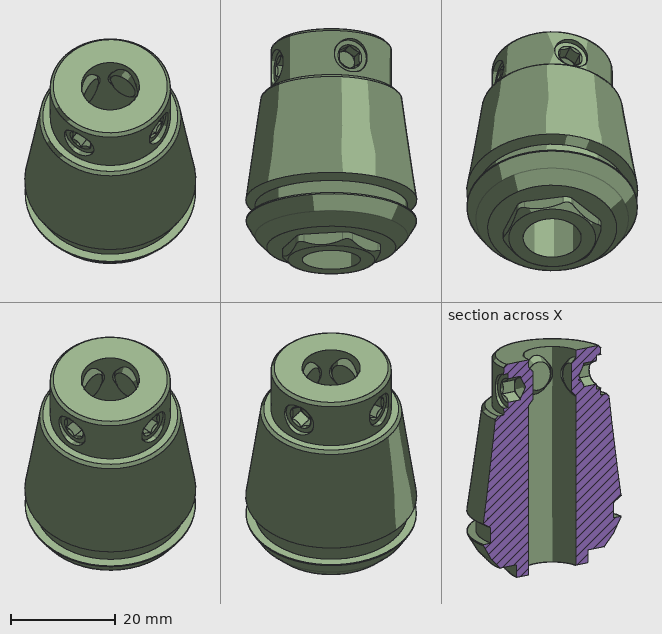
import cadquery as cq
import math

height = 43.0
bore_diameter = 11.1

collar_radius = 23.0 / 2
shoulder_z = 33.02
sleeve_top_radius = 13.5
sleeve_bottom_radius = 32.72 / 2
sleeve_bottom_z = 12.05
edge_chamfer = 0.6

groove_radius = 29.2 / 2
groove_top_z = 11.0
flange_top_z = 8.0
flange_radius = 32.6 / 2
flange_land = 0.25
flange_knee_z = 4.9
flange_bottom_radius = 12.35

nut_height = 2.55
nut_across_flats = 17.0
nut_corner_radius = 2.0
nut_bottom_radius = 8.3

screw_count = 4
screw_z = 37.65
screw_diameter = 8.0
screw_tip_diameter = 5.6
screw_tip_distance = 4.47
screw_face_distance = 10.5
screw_hole_diameter = 6.65
socket_across_flats = 4.0
socket_mouth_diameter = 4.8
socket_mouth_angle = 90.0
socket_depth = 3.0
socket_bottom_angle = 120.0


def across_corners(across_flats):
    """Corner-to-corner size of a regular hexagon."""
    return across_flats / math.cos(math.radians(30))


def revolved(profile):
    """Solid of revolution about Z from (radius, height) points."""
    return cq.Workplane("XZ").polyline(profile).close().revolve(360, (0, 0), (0, 1))


def turned_body():
    """Collar, tapered sleeve, groove and flange as one turned profile."""
    profile = [
        (0, nut_height),
        (flange_bottom_radius, nut_height),
        (groove_radius, flange_knee_z),
        (flange_radius, flange_top_z - flange_land),
        (flange_radius, flange_top_z),
        (groove_radius, flange_top_z),
        (groove_radius, groove_top_z),
        (sleeve_bottom_radius, sleeve_bottom_z),
        (sleeve_top_radius, shoulder_z - edge_chamfer),
        (sleeve_top_radius - edge_chamfer, shoulder_z),
        (collar_radius, shoulder_z),
        (collar_radius, height - edge_chamfer),
        (collar_radius - edge_chamfer, height),
        (0, height),
    ]
    return revolved(profile)


def hexagon_nut():
    """Hexagon with rounded corners on the X axis and a 45 degree bottom chamfer."""
    hexagon = cq.Workplane("XY").polygon(6, across_corners(nut_across_flats)).extrude(nut_height)
    hexagon = hexagon.edges("|Z").fillet(nut_corner_radius)
    chamfer_cone = revolved([
        (0, 0),
        (nut_bottom_radius, 0),
        (nut_bottom_radius + nut_height, nut_height),
        (0, nut_height),
    ])
    return hexagon.intersect(chamfer_cone)


def pointed_cone(base_diameter, included_angle):
    """Cone with its base on Z = 0 and its point downwards."""
    radius = base_diameter / 2
    depth = radius / math.tan(math.radians(included_angle / 2))
    return cq.Workplane("XY").add(cq.Solid.makeCone(radius, 0, depth, dir=cq.Vector(0, 0, -1)))


def set_screw():
    """Solid screw pointing down, with its socket face on Z = 0 and a flat 45 degree tip."""
    length = screw_face_distance - screw_tip_distance
    tip_chamfer = (screw_diameter - screw_tip_diameter) / 2
    screw = cq.Workplane("XY").circle(screw_diameter / 2).extrude(-length)
    return screw.faces("<Z").chamfer(tip_chamfer)


def screw_hole():
    """Radial hole through the collar wall, from the part axis outwards, for a socket face at Z = 0."""
    hole = cq.Workplane("XY").workplane(offset=-screw_face_distance).circle(screw_hole_diameter / 2)
    return hole.extrude(screw_face_distance + collar_radius)


def screw_socket():
    """Hexagon socket below Z = 0 with a countersunk mouth and a pointed bottom."""
    socket = (
        cq.Workplane("XY")
        .transformed(rotate=(0, 0, 30))
        .polygon(6, across_corners(socket_across_flats))
        .extrude(-socket_depth)
    )
    bottom = pointed_cone(socket_across_flats, socket_bottom_angle).translate((0, 0, -socket_depth))
    mouth = pointed_cone(socket_mouth_diameter, socket_mouth_angle)
    return socket.union(bottom).union(mouth)


def placed_on_collar(shape, turn):
    """Move a shape from Z = 0 to the screw's socket face, turned about the part axis."""
    return (
        shape.rotate((0, 0, 0), (1, 0, 0), 90)
        .translate((0, -screw_face_distance, screw_z))
        .rotate((0, 0, 0), (0, 0, 1), turn)
    )


result = turned_body().union(hexagon_nut())
result = result.cut(cq.Workplane("XY").circle(bore_diameter / 2).extrude(height))

hole = screw_hole()
screw = set_screw().cut(screw_socket())
for index in range(screw_count):
    turn = index * 360 / screw_count
    result = result.cut(placed_on_collar(hole, turn))
    result = result.union(placed_on_collar(screw, turn))